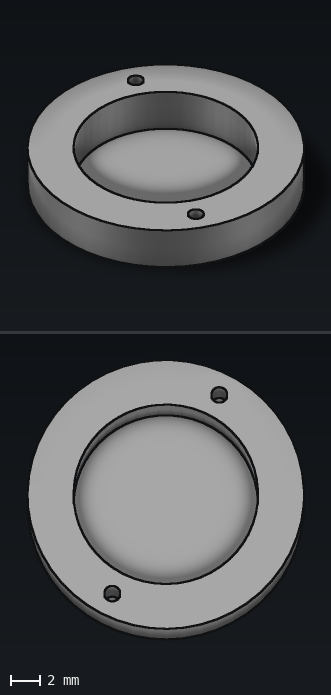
import cadquery as cq

outer_diameter = 19.05
height = 3.182

pocket_diameter = 12.7
floor_thickness = 0.002
recess_depth = height - floor_thickness

pin_hole_diameter = 1.0922
pin_hole_offset = (outer_diameter + pocket_diameter) / 4


def make_disc():
    """Plain disc standing on the XY plane."""
    return cq.Workplane("XY").circle(outer_diameter / 2).extrude(height)


def recess(diameter, x=0):
    """Cutter for a flat-bottomed round recess sunk from the top face at (x, 0)."""
    top_plane = cq.Workplane("XY", origin=(x, 0, height))
    return top_plane.circle(diameter / 2).extrude(-recess_depth)


result = make_disc().cut(recess(pocket_diameter))
for side in (-1, 1):
    result = result.cut(recess(pin_hole_diameter, side * pin_hole_offset))